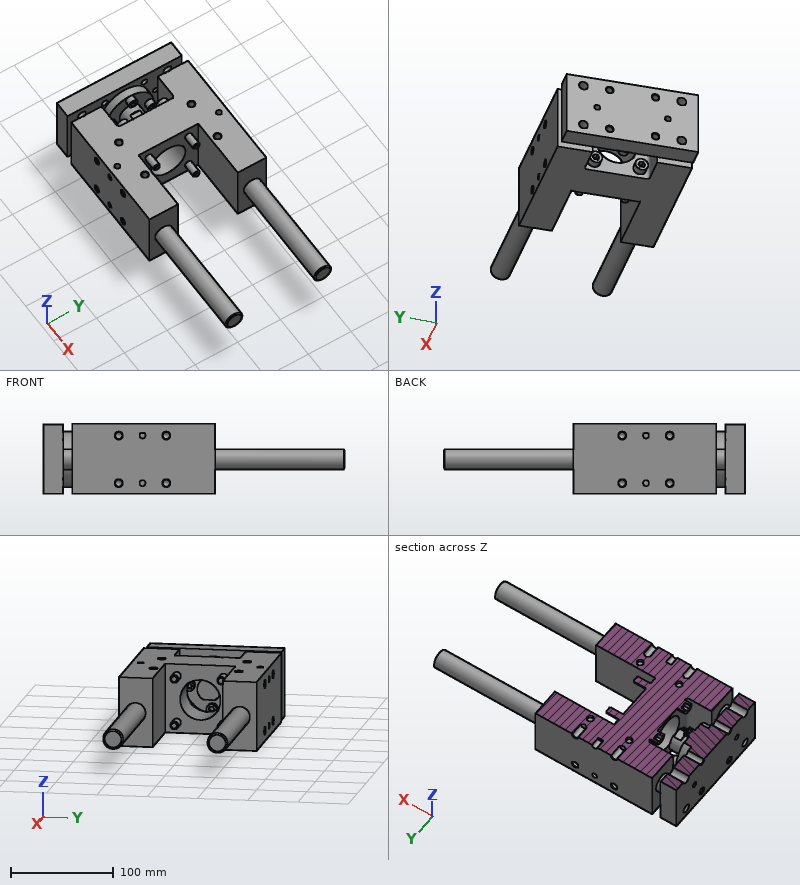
import cadquery as cq
import math

overall_length = 295.0

plate_thickness = 19.2
plate_width = 134.0
plate_height = 68.0

axis_z = 34.0

housing_start = 28.0
housing_length = 140.0
housing_width = 137.0
housing_height = 69.0
housing_end = housing_start + housing_length
web_start = 57.8
web_end = 97.4
front_notch_width = 65.8
rear_notch_width = 70.0
notch_fillet = 3.0
web_bore_diameter = 40.0

rod_diameter = 20.0
rod_spacing = 103.8
rod_chamfer_length = 1.8
rod_chamfer_inset = 1.0

pattern_pitch = 46.5

thread_diameter = 8.0
core_diameter = 6.8
thread_depth = 14.8
drill_tip_length = 1.8
countersink_taper = 45.0
countersink_depth = (thread_diameter - core_diameter) / 2

dowel_diameter = 6.0
top_dowel_depth = 9.7
side_dowel_depth = 10.5

hole_center_x = 97.0
top_tapped_spacing = 85.0
top_dowel_spacing = 119.0

plate_bolt_diameter = 9.0
plate_bolt_spacing = 100.0
plate_dowel_spacing = 72.0

flange_diameter = 55.0
flange_thickness = 9.0
flange_end = plate_thickness + flange_thickness
flange_screw_circle_radius = 22.5
flange_head_diameter = 10.0
flange_head_length = 6.5
flange_socket_size = 5.0

coupling_diameter = 24.0
coupling_length = 19.0
coupling_end = flange_end + coupling_length
coupling_flat_length = 9.5
coupling_across_flats = 21.0

web_head_diameter = 13.0
web_head_length = 8.3
web_socket_size = 6.0
web_shank_diameter = 8.0
web_shank_end = 113.0
web_shank_chamfer = 1.2

socket_depth_ratio = 0.7

CENTER = [(0, 0)]


def pair(spacing):
    """Two points on either side of the centre."""
    return [(-spacing / 2, 0), (spacing / 2, 0)]


def grid(width, height):
    """Four corner points of a centred rectangle."""
    return [(side * width / 2, level * height / 2) for side in (-1, 1) for level in (-1, 1)]


def along_x(x):
    """Workplane facing +X, centred on the common axis; its points are (Y, height above the axis)."""
    return cq.Workplane("YZ", origin=(x, 0, axis_z))


def rods(x_start, x_end, diameter, points):
    """Round bars along X."""
    return along_x(x_start).pushPoints(points).circle(diameter / 2).extrude(x_end - x_start)


def hexagons(x_start, depth, across_flats, points):
    """Hexagonal bars along X, each with corners at its top and bottom."""
    across_corners = across_flats / math.cos(math.pi / 6)
    outline = cq.Sketch().regularPolygon(across_corners / 2, 6, angle=90)
    return along_x(x_start).pushPoints(points).placeSketch(outline).extrude(depth)


def tapped_holes(face, points):
    """Countersunk blind holes with conical drill tips, going into the face."""
    core_radius = core_diameter / 2
    hole = (
        cq.Workplane("XZ")
        .lineTo(thread_diameter / 2, 0)
        .lineTo(core_radius, -countersink_depth)
        .lineTo(core_radius, -thread_depth)
        .lineTo(0, -thread_depth - drill_tip_length)
        .close()
        .revolve(360, (0, 0, 0), (0, 1, 0))
        .val()
    )
    return face.pushPoints(points).eachpoint(lambda place: hole.moved(place), useLocalCoordinates=True)


def dowel_holes(face, points, depth):
    """Flat-bottomed blind holes going into the face."""
    return face.pushPoints(points).circle(dowel_diameter / 2).extrude(-depth)




def housing_block():
    """H-shaped block: front notch with rounded corners, rear notch with sharp ones."""
    center_z = housing_height / 2
    block = cq.Workplane("YZ", origin=(housing_start, 0, center_z))
    block = block.rect(housing_width, housing_height).extrude(housing_length)
    front_notch = (
        cq.Workplane("YZ", origin=(housing_start, 0, center_z))
        .rect(front_notch_width, housing_height)
        .extrude(web_start - housing_start)
        .edges("|Z and >X")
        .fillet(notch_fillet)
    )
    rear_notch = (
        cq.Workplane("YZ", origin=(web_end, 0, center_z))
        .rect(rear_notch_width, housing_height)
        .extrude(housing_end - web_end)
    )
    return block.cut(front_notch).cut(rear_notch)


def cut_top_holes(block):
    top = cq.Workplane("XY", origin=(hole_center_x, 0, housing_height))
    dowel_points = [(0, y) for y, _ in pair(top_dowel_spacing)]
    block = block.cut(tapped_holes(top, grid(pattern_pitch, top_tapped_spacing)))
    return block.cut(dowel_holes(top, dowel_points, top_dowel_depth))


def cut_side_holes(block):
    """The same six holes in the -Y face and, mirrored, in the +Y face."""
    side = cq.Workplane("XZ", origin=(hole_center_x, -housing_width / 2, axis_z))
    dowel_points = [(0, z) for z, _ in pair(pattern_pitch)]
    for holes in (
        tapped_holes(side, grid(pattern_pitch, pattern_pitch)),
        dowel_holes(side, dowel_points, side_dowel_depth),
    ):
        block = block.cut(holes).cut(holes.mirror("XZ"))
    return block


def web_screws():
    """Socket head screws whose shanks stick out behind the web."""
    points = grid(pattern_pitch, pattern_pitch)
    head_start = web_start - web_head_length
    heads = rods(head_start, web_start, web_head_diameter, points)
    sockets = hexagons(head_start, web_head_length * socket_depth_ratio, web_socket_size, points)
    shanks = rods(web_start, web_shank_end, web_shank_diameter, points)
    shanks = shanks.faces(">X").chamfer(web_shank_chamfer)
    return heads.cut(sockets).union(shanks)


def make_housing():
    block = cut_side_holes(cut_top_holes(housing_block()))
    block = block.cut(rods(web_start, web_end, web_bore_diameter, CENTER))
    block = block.cut(rods(housing_start, housing_end, rod_diameter, pair(rod_spacing)))
    return block.union(web_screws())




def front_plate():
    plate = cq.Workplane("XY").box(plate_thickness, plate_width, plate_height, centered=(False, True, False))
    tapped_points = grid(pattern_pitch, pattern_pitch)
    threads = rods(0, plate_thickness, core_diameter, tapped_points)
    countersinks = (
        along_x(0)
        .pushPoints(tapped_points)
        .circle(thread_diameter / 2)
        .extrude(countersink_depth, taper=countersink_taper)
    )
    plate = plate.cut(threads).cut(countersinks)
    bolt_points = grid(plate_bolt_spacing, pattern_pitch)
    plate = plate.cut(rods(0, plate_thickness, plate_bolt_diameter, bolt_points))
    return plate.cut(rods(0, plate_thickness, dowel_diameter, pair(plate_dowel_spacing)))


def guide_rods():
    points = pair(rod_spacing)
    bars = rods(plate_thickness, overall_length, rod_diameter, points)
    return bars.faces(">X").edges().chamfer(rod_chamfer_inset, rod_chamfer_length)


def flange():
    """Round flange with four socket screw heads."""
    r = flange_screw_circle_radius
    points = [(r, 0), (0, r), (-r, 0), (0, -r)]
    head_end = flange_end + flange_head_length
    socket_depth = flange_head_length * socket_depth_ratio
    disc = rods(plate_thickness, flange_end, flange_diameter, CENTER)
    heads = rods(flange_end, head_end, flange_head_diameter, points)
    sockets = hexagons(head_end - socket_depth, socket_depth, flange_socket_size, points)
    return disc.union(heads.cut(sockets))


def coupling():
    """Round stud with wrench flats above and below at its end."""
    stud = rods(flange_end, coupling_end - coupling_flat_length, coupling_diameter, CENTER)
    flatted_end = rods(coupling_end - coupling_flat_length, coupling_end, coupling_diameter, CENTER)
    between_flats = (
        along_x(coupling_end - coupling_flat_length)
        .rect(coupling_diameter, coupling_across_flats)
        .extrude(coupling_flat_length)
    )
    return stud.union(flatted_end.intersect(between_flats))


def make_carriage():
    return front_plate().union(guide_rods()).union(flange()).union(coupling())


housing = make_housing()
carriage = make_carriage()

result = cq.Compound.makeCompound([housing.solids().val(), carriage.solids().val()])